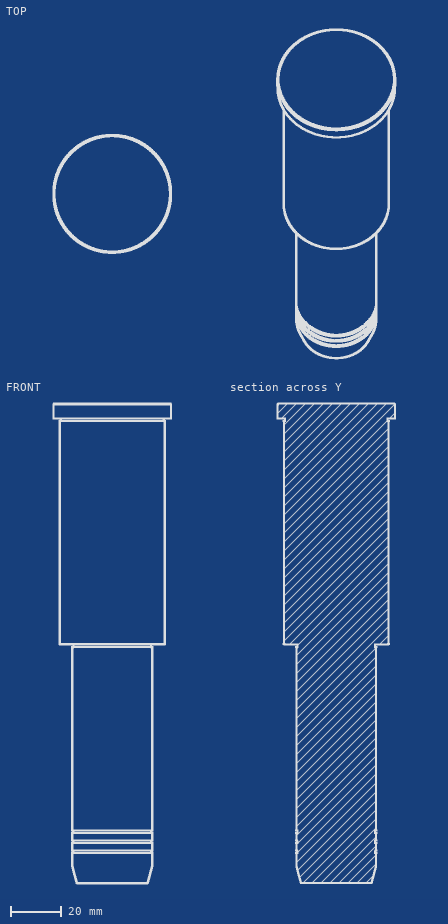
import cadquery as cq
import math

TOTAL_LENGTH = 191.0

HEAD_DIAMETER = 47.0
HEAD_THICKNESS = 6.0
HEAD_CHAMFER = 0.5

SHANK_DIAMETER = 42.0
SHANK_BOTTOM_Z = 95.0
SHANK_CHAMFER = 0.3

PILLAR_DIAMETER = 32.0
PILLAR_RELIEF_WIDTH = 1.0
PILLAR_RELIEF_DEPTH = 0.5

NOSE_LENGTH = 7.0
NOSE_ANGLE = 15.0
TIP_FILLET = 0.5

GROOVE_RADIUS = 0.5
SIN_45 = 0.7071
GROOVE_COUNT = 3
GROOVE_PITCH = 4.0
FIRST_GROOVE_Z = 12.5

head_radius = HEAD_DIAMETER / 2
shank_radius = SHANK_DIAMETER / 2
pillar_radius = PILLAR_DIAMETER / 2
head_bottom_z = TOTAL_LENGTH - HEAD_THICKNESS


def make_pillar():
    """Lower guide diameter with a conical nose and a rounded tip edge."""
    tip_radius = pillar_radius - NOSE_LENGTH * math.tan(math.radians(NOSE_ANGLE))
    profile = (
        cq.Workplane("XZ")
        .lineTo(tip_radius, 0)
        .lineTo(pillar_radius, NOSE_LENGTH)
        .lineTo(pillar_radius, SHANK_BOTTOM_Z)
        .lineTo(0, SHANK_BOTTOM_Z)
        .close()
    )
    pillar = profile.revolve(360, (0, 0, 0), (0, 1, 0))
    return pillar.faces("<Z").edges().fillet(TIP_FILLET)


def make_shank():
    """Larger fitting diameter between the pillar and the head."""
    shank = cq.Workplane("XY", origin=(0, 0, SHANK_BOTTOM_Z))
    shank = shank.circle(shank_radius).extrude(head_bottom_z - SHANK_BOTTOM_Z)
    return shank.faces("<Z").edges().chamfer(SHANK_CHAMFER)


def make_head():
    """Flat collar with its top rim chamfered."""
    head = cq.Workplane("XY", origin=(0, 0, head_bottom_z))
    head = head.circle(head_radius).extrude(HEAD_THICKNESS)
    return head.faces(">Z").edges().chamfer(HEAD_CHAMFER)


def relief_cutter(outer_radius, depth, bottom_z, width):
    """Ring that cuts a square relief of the given depth into a cylinder."""
    ring = cq.Workplane("XY", origin=(0, 0, bottom_z))
    return ring.circle(outer_radius).circle(outer_radius - depth).extrude(width)


def groove_cutter(outer_radius, center_z):
    """Ring that cuts a half-round groove, its section made of two quarter arcs."""
    floor_radius = outer_radius - GROOVE_RADIUS
    diagonal = GROOVE_RADIUS * SIN_45
    section = (
        cq.Workplane("XZ")
        .moveTo(outer_radius, center_z - GROOVE_RADIUS)
        .threePointArc((outer_radius - diagonal, center_z - diagonal), (floor_radius, center_z))
        .threePointArc(
            (outer_radius - diagonal, center_z + diagonal),
            (outer_radius, center_z + GROOVE_RADIUS),
        )
        .close()
    )
    return section.revolve(360, (0, 0, 0), (0, 1, 0))


pillar = make_pillar()
for index in range(GROOVE_COUNT):
    groove_z = FIRST_GROOVE_Z + index * GROOVE_PITCH
    pillar = pillar.cut(groove_cutter(pillar_radius, groove_z))

pillar_relief_z = SHANK_BOTTOM_Z - PILLAR_RELIEF_WIDTH
pillar_relief = relief_cutter(pillar_radius, PILLAR_RELIEF_DEPTH, pillar_relief_z, PILLAR_RELIEF_WIDTH)
pillar = pillar.cut(pillar_relief)

shank = make_shank().cut(groove_cutter(shank_radius, head_bottom_z - GROOVE_RADIUS))

result = pillar.union(shank).union(make_head())